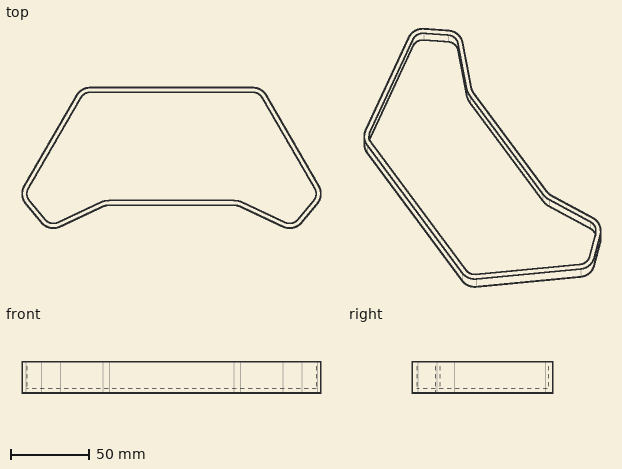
import cadquery as cq

height = 20.0
wall = 3.0
floor = 3.0
corner_radius = 10.0

back_corner = (-57.6, 45.0)
side_corner = (-97.5, -23.8)
lobe_corner = (-78.0, -47.1)
front_corner = (-42.0, -30.1)

left_half = [back_corner, side_corner, lobe_corner, front_corner]
right_half = [(-x, y) for x, y in reversed(left_half)]

body = (
    cq.Workplane("XY")
    .polyline(left_half + right_half)
    .close()
    .extrude(height)
    .edges("|Z")
    .fillet(corner_radius)
)

floor_outline = body.faces("<Z").wires().val()
pocket_outline = floor_outline.offset2D(-wall)[0].translate(cq.Vector(0, 0, floor))
pocket = cq.Solid.extrudeLinear(pocket_outline, [], cq.Vector(0, 0, height - floor))

result = body.cut(cq.Workplane(obj=pocket))